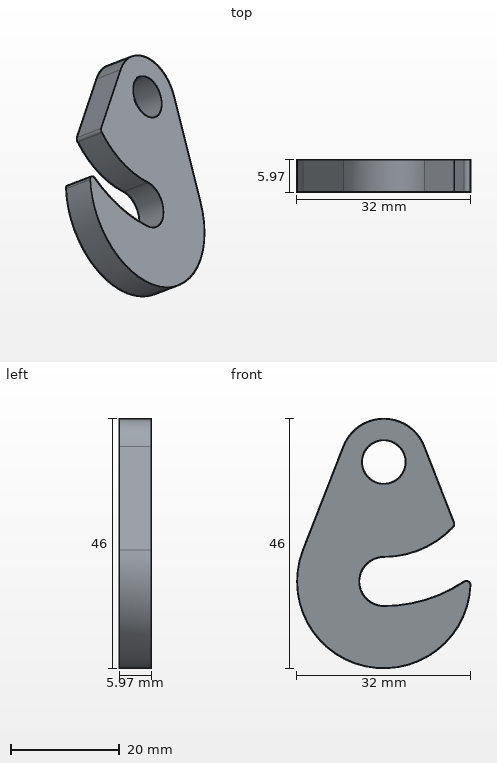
import cadquery as cq
import math

thickness = 5.97
body_radius = 16.0
eye_radius = 8.0
eye_hole_diameter = 8.0
eye_height = 22.0
throat_radius = 4.5
corner_radius = 0.8

tangent_angle = math.asin((body_radius - eye_radius) / eye_height)

opening_inner_radius = eye_height - throat_radius
opening_outer_radius = eye_height + throat_radius
opening_sweep = math.radians(60)


def polar(radius, angle, center_z=0.0):
    """Point in the XZ plane at an angle from +X around (0, center_z)."""
    return (radius * math.cos(angle), center_z + radius * math.sin(angle))


def make_body():
    """Teardrop plate: two circles joined by their outer tangent lines."""
    right_body = polar(body_radius, tangent_angle)
    right_eye = polar(eye_radius, tangent_angle, eye_height)
    left_body = (-right_body[0], right_body[1])
    left_eye = (-right_eye[0], right_eye[1])
    return (
        cq.Workplane("XZ")
        .moveTo(*right_body)
        .lineTo(*right_eye)
        .threePointArc((0, eye_height + eye_radius), left_eye)
        .lineTo(*left_body)
        .threePointArc((0, -body_radius), right_body)
        .close()
        .extrude(thickness / 2, both=True)
    )


def make_opening():
    """Curved slot about the eye centre with a half-round inner end."""
    start_angle = -math.pi / 2
    middle_angle = start_angle + opening_sweep / 2
    end_angle = start_angle + opening_sweep

    def on_inner(angle):
        return polar(opening_inner_radius, angle, eye_height)

    def on_outer(angle):
        return polar(opening_outer_radius, angle, eye_height)

    return (
        cq.Workplane("XZ")
        .moveTo(*on_inner(start_angle))
        .threePointArc(on_inner(middle_angle), on_inner(end_angle))
        .lineTo(*on_outer(end_angle))
        .threePointArc(on_outer(middle_angle), on_outer(start_angle))
        .threePointArc((-throat_radius, 0), on_inner(start_angle))
        .close()
        .extrude(thickness, both=True)
    )


def make_eye_hole():
    """Through hole of the eye."""
    return (
        cq.Workplane("XZ")
        .center(0, eye_height)
        .circle(eye_hole_diameter / 2)
        .extrude(thickness, both=True)
    )


def round_opening_corners(hook):
    """Round the two sharp corners where the opening meets the outline."""
    tip_z = (body_radius**2 + eye_height**2 - opening_outer_radius**2) / (2 * eye_height)
    tip_x = math.sqrt(body_radius**2 - tip_z**2)
    hook = hook.edges(cq.NearestToPointSelector((tip_x, 0, tip_z))).fillet(corner_radius)

    shoulder_angle = tangent_angle - math.acos(eye_radius / opening_inner_radius)
    shoulder_x, shoulder_z = polar(opening_inner_radius, shoulder_angle, eye_height)
    shoulder_edge = cq.NearestToPointSelector((shoulder_x, 0, shoulder_z))
    return hook.edges(shoulder_edge).fillet(corner_radius)


result = round_opening_corners(make_body().cut(make_opening()).cut(make_eye_hole()))